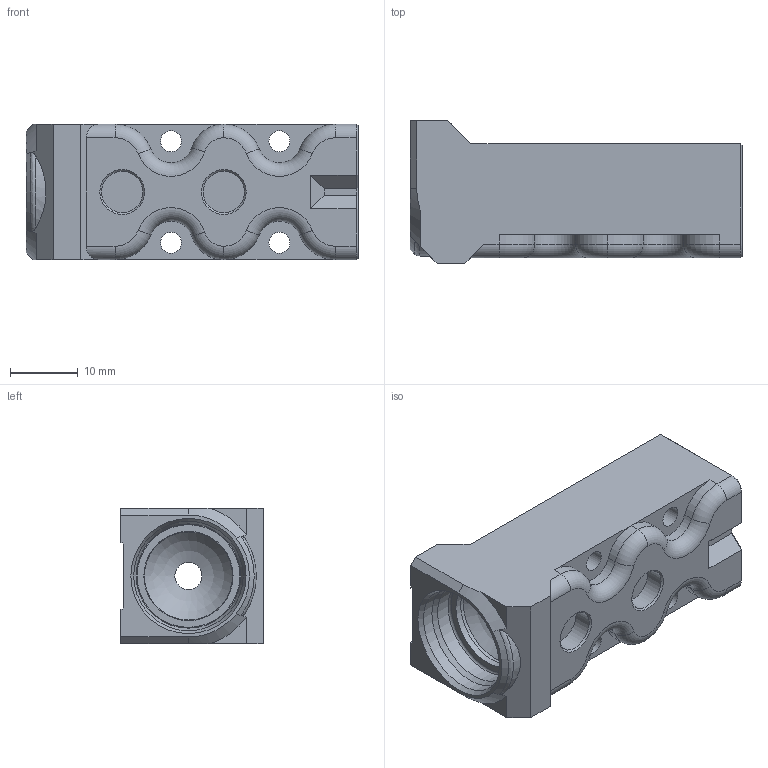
import cadquery as cq
import math

length = 49.0
half_height = 10.0
flange_top = 10.0
ridge_bottom = -11.05

body_top = 6.6
panel_bottom = -10.25
flange_thickness = 5.6
ridge_start = 4.0
ridge_end = 8.1
nose_back = 1.5
end_chamfer = 0.25

nose_radius = 10.0
nose_chamfer = 1.0
nose_blend = 1.0

panel_floor = -6.8
panel_fillet = 2.0
panel_middle = 29.4
middle_lobe_x = 29.2
hole_spacing = 16.0
end_lobe_offset = 16.26
valley_radius = 3.2
bolt_z = 7.5
bolt_diameter = 3.1

pocket_diameter = 6.1
pocket_depth = 3.0
pocket_chamfer = 0.25
pocket_positions = (14.2, 29.2)

notch_start = 42.0
notch_half_width = 2.45
notch_depth = 2.0

groove_half_width = 4.9
groove_depth = 0.47
groove_corner = 0.2

mouth_radius = 8.5
mouth_chamfer_length = 0.75
thread_radius = 16.16 / 2
thread_end = 2.5
guide_radius = 7.7
guide_start = 3.3
shelf_x = 6.0
relief_fillet = 0.5
recess_radius = 13.16 / 2
recess_end = 7.0
dome_edge_x = 7.5
dome_edge_radius = 6.5
dome_sphere_radius = 8.0
outlet_radius = 2.0


def make_core():
    """Side profile of flange, ridge and body, extruded over the full height."""
    slope_drop = ridge_start - nose_back
    panel_drop = panel_floor - ridge_bottom
    flange_drop = flange_top - body_top
    outline = [
        (0, flange_top),
        (flange_thickness, flange_top),
        (flange_thickness + flange_drop, body_top),
        (length, body_top),
        (length, panel_floor),
        (ridge_end + panel_drop, panel_floor),
        (ridge_end, ridge_bottom),
        (ridge_start, ridge_bottom),
        (nose_back, ridge_bottom + slope_drop),
        (0, ridge_bottom + ridge_start),
    ]
    return cq.Workplane("XY").polyline(outline).close().extrude(half_height, both=True)


def trim_mouth_end(core):
    """Bevel the mouth end: straight above the axis, conical below it, flat at nose_back."""
    face_radius = nose_radius - nose_chamfer
    cone_radius = face_radius + nose_back
    straight = (
        cq.Workplane("ZY")
        .rect(2 * face_radius, 2 * flange_top)
        .workplane(offset=-nose_back)
        .rect(2 * cone_radius, 2 * flange_top)
        .loft(combine=True)
        .intersect(cq.Workplane("XY").box(length, flange_top, 4 * half_height, centered=(True, False, True)))
    )
    cone = revolve_about_x([(0, 0), (0, face_radius), (nose_back, cone_radius), (nose_back, 0)])
    rest = cq.Workplane("YZ", origin=(nose_back, 0, 0)).rect(4 * half_height, 4 * half_height).extrude(length)
    return core.intersect(rest.union(straight).union(cone))


def revolve_about_x(outline):
    """Turn an (x, radius) outline about the X axis."""
    return cq.Workplane("XY").polyline(outline).close().revolve(360, (0, 0, 0), (1, 0, 0))


def make_nose():
    """Chamfered and rounded collar that stands out of the sloped ridge face."""
    blend_run = nose_blend * math.sin(math.pi / 4)
    blend_rise = nose_blend - blend_run
    half_angle = math.pi / 8
    blend_start = nose_chamfer - blend_rise
    nose_end = blend_start + blend_run
    blend_middle = (nose_end - nose_blend * math.sin(half_angle),
                    nose_radius - nose_blend * (1 - math.cos(half_angle)))
    profile = (
        cq.Workplane("XY")
        .moveTo(0, 0)
        .lineTo(0, nose_radius - nose_chamfer)
        .lineTo(blend_start, nose_radius - blend_rise)
        .threePointArc(blend_middle, (nose_end, nose_radius))
        .lineTo(ridge_start, nose_radius)
        .lineTo(ridge_start, 0)
        .close()
    )
    return profile.revolve(360, (0, 0, 0), (1, 0, 0))


def lobe_radius(spacing):
    """Radius of a lobe tangent to a valley arc this far away and to the outer edge."""
    rise = half_height - bolt_z
    return (spacing**2 + rise**2 - valley_radius**2) / (2 * (valley_radius + rise))


def make_valley(valley_x, left_lobe_x, right_lobe_x):
    """Cutter for one upper valley, bounded by a valley arc and half of each neighbour lobe."""

    def lobe_points(lobe_x):
        spacing = abs(valley_x - lobe_x)
        side = math.copysign(1, valley_x - lobe_x)
        radius = lobe_radius(spacing)
        center_z = half_height - radius
        tilt = math.atan2(bolt_z - center_z, spacing)
        middle = (tilt + math.pi / 2) / 2
        joint = (lobe_x + side * radius * math.cos(tilt), center_z + radius * math.sin(tilt))
        halfway = (lobe_x + side * radius * math.cos(middle), center_z + radius * math.sin(middle))
        return joint, halfway

    left_joint, left_halfway = lobe_points(left_lobe_x)
    right_joint, right_halfway = lobe_points(right_lobe_x)
    return (
        cq.Workplane("XZ")
        .moveTo(left_lobe_x, half_height)
        .threePointArc(left_halfway, left_joint)
        .threePointArc((valley_x, bolt_z - valley_radius), right_joint)
        .threePointArc(right_halfway, (right_lobe_x, half_height))
        .close()
        .extrude(-2 * panel_bottom, both=True)
    )


def make_panel():
    """Raised panel with two valleys in each long side and rounded outer edges."""
    thickness = panel_floor - panel_bottom
    panel_start = ridge_start
    panel = cq.Workplane("XY").box(length - panel_start, thickness, 2 * half_height, centered=False).translate(
        (panel_start, panel_bottom, -half_height))
    left_valley = panel_middle - hole_spacing / 2
    right_valley = panel_middle + hole_spacing / 2
    valleys = (
        (left_valley, panel_middle - end_lobe_offset, middle_lobe_x),
        (right_valley, middle_lobe_x, panel_middle + end_lobe_offset),
    )
    for valley in valleys:
        upper = make_valley(*valley)
        panel = panel.cut(upper).cut(upper.mirror("XY"))
    sides = panel.faces("<Y").edges("not(<X or >X)")
    panel = sides.fillet(panel_fillet)
    front = ridge_end + panel_bottom - ridge_bottom
    front_slope = (
        cq.Workplane("XY")
        .polyline([
            (panel_start, panel_floor),
            (panel_start, panel_bottom),
            (front, panel_bottom),
            (front + thickness, panel_floor),
        ])
        .close()
        .extrude(half_height, both=True)
    )
    return panel.cut(front_slope)


def make_bore():
    """Stepped bore with a rounded relief before its shelf, a domed end and a small outlet through the far end."""
    dome_center_x = dome_edge_x - math.sqrt(dome_sphere_radius**2 - dome_edge_radius**2)
    outlet_angle = math.asin(outlet_radius / dome_sphere_radius)
    edge_angle = math.asin(dome_edge_radius / dome_sphere_radius)

    def on_dome(angle):
        return dome_center_x + dome_sphere_radius * math.cos(angle), dome_sphere_radius * math.sin(angle)

    relief_start = shelf_x - relief_fillet
    entry = [
        (0, 0),
        (0, mouth_radius),
        (mouth_chamfer_length, thread_radius),
        (thread_end, thread_radius),
        (guide_start, guide_radius),
        (relief_start, guide_radius),
        (relief_start, thread_radius),
    ]
    relief_middle = (relief_start + relief_fillet * math.sin(math.pi / 4),
                     thread_radius - relief_fillet * (1 - math.cos(math.pi / 4)))
    shelf_edge = (shelf_x, thread_radius - relief_fillet)
    profile = (
        cq.Workplane("XY")
        .polyline(entry)
        .threePointArc(relief_middle, shelf_edge)
        .lineTo(shelf_x, recess_radius)
        .lineTo(recess_end, recess_radius)
        .lineTo(dome_edge_x, dome_edge_radius)
        .threePointArc(on_dome((edge_angle + outlet_angle) / 2), on_dome(outlet_angle))
        .lineTo(length, outlet_radius)
        .lineTo(length, 0)
        .close()
    )
    return profile.revolve(360, (0, 0, 0), (1, 0, 0))


def make_pocket(x):
    """Blind round pocket in the panel with a chamfered rim."""
    radius = pocket_diameter / 2
    profile = [
        (0, 0),
        (radius + pocket_chamfer, 0),
        (radius, pocket_chamfer),
        (radius, pocket_depth),
        (0, pocket_depth),
    ]
    pocket = cq.Workplane("XY").polyline(profile).close().revolve(360, (0, 0, 0), (0, 1, 0))
    return pocket.translate((x, panel_bottom, 0))


def make_notch():
    """Notch with 45 degree walls, open at the far end."""
    overrun = 2 * notch_depth
    notch_length = length + overrun - notch_start
    return (
        cq.Workplane("XZ", origin=(notch_start + notch_length / 2, panel_bottom, 0))
        .rect(notch_length, 2 * notch_half_width)
        .extrude(-notch_depth, taper=45)
    )


def make_groove():
    """Shallow groove along X in the top of the flange."""
    floor = flange_top - groove_depth
    outline = [
        (flange_top, -groove_half_width),
        (floor + groove_corner, -groove_half_width),
        (floor, groove_corner - groove_half_width),
        (floor, groove_half_width - groove_corner),
        (floor + groove_corner, groove_half_width),
        (flange_top, groove_half_width),
    ]
    return cq.Workplane("YZ").polyline(outline).close().extrude(length)


result = trim_mouth_end(make_core()).union(make_nose()).union(make_panel())
result = result.cut(make_notch())
result = result.faces(">X").edges().chamfer(end_chamfer)
result = result.cut(make_bore()).cut(make_groove())

for pocket_x in pocket_positions:
    result = result.cut(make_pocket(pocket_x))

bolt_points = [
    (panel_middle + side * hole_spacing / 2, level * bolt_z)
    for side in (-1, 1)
    for level in (-1, 1)
]
bolt_holes = cq.Workplane("XZ").pushPoints(bolt_points).circle(bolt_diameter / 2).extrude(2 * flange_top, both=True)
result = result.cut(bolt_holes)